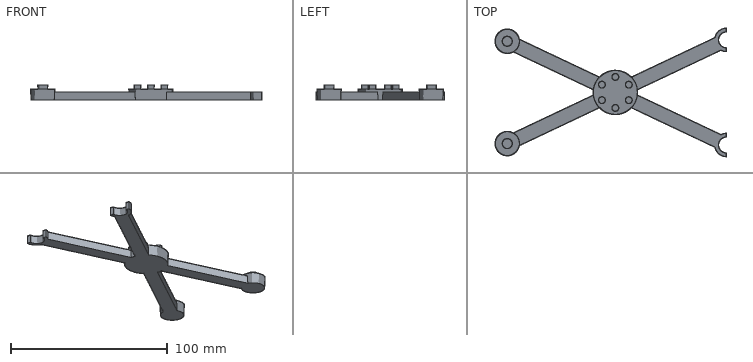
import cadquery as cq
import math

draft_angle = 3

arm_width = 9.0
arm_height = 5.2

hub_radius = 14.2
disc_height = 7.0
hub_peg_count = 6
hub_peg_radius = 2.2
hub_peg_circle_radius = 9.9

puck_x = -68.9
puck_y = 32.6
puck_radius = 7.8
puck_peg_radius = 3.2
total_height = 9.7

fork_x = 70.8
fork_y = 33.5
fork_outer_radius = 7.5
fork_inner_radius = 5.0


def cylinder(x, y, radius, height):
    """Upright cylinder standing on the base plane."""
    return cq.Workplane("XY").center(x, y).circle(radius).extrude(height)


def drafted_disc(x, y, top_radius, bottom_z, top_z):
    """Upright disc whose side narrows downward by the draft angle."""
    height = top_z - bottom_z
    bottom_radius = top_radius - height * math.tan(math.radians(draft_angle))
    base = cq.Workplane("XY", origin=(x, y, bottom_z)).circle(bottom_radius)
    return base.extrude(height, taper=-draft_angle)


def hub():
    """Central disc carrying a ring of pegs."""
    body = drafted_disc(0, 0, hub_radius, 0, disc_height)
    for index in range(hub_peg_count):
        angle = math.pi / 2 + 2 * math.pi * index / hub_peg_count
        x = hub_peg_circle_radius * math.cos(angle)
        y = hub_peg_circle_radius * math.sin(angle)
        body = body.union(drafted_disc(x, y, hub_peg_radius, disc_height, total_height))
    return body


def arm(end_x, end_y):
    """Straight bar from the hub centre to an end point."""
    length = math.hypot(end_x, end_y)
    angle = math.degrees(math.atan2(end_y, end_x))
    bar = cq.Workplane("XY").box(length, arm_width, arm_height, centered=(False, True, False))
    return bar.rotate((0, 0, 0), (0, 0, 1), angle)


def puck_arm(side):
    """Arm ending in a raised puck with a peg on top."""
    y = side * puck_y
    body = arm(puck_x, y).union(drafted_disc(puck_x, y, puck_radius, 0, disc_height))
    return body.union(drafted_disc(puck_x, y, puck_peg_radius, disc_height, total_height))


def fork_arm(side):
    """Arm ending in a half ring that opens toward +X."""
    y = side * fork_y
    body = arm(fork_x, y).union(cylinder(fork_x, y, fork_outer_radius, arm_height))
    body = body.cut(cylinder(fork_x, y, fork_inner_radius, arm_height))
    beyond_tips = (
        cq.Workplane("XY")
        .box(2 * fork_outer_radius, 2 * fork_outer_radius, arm_height, centered=(False, True, False))
        .translate((fork_x, y, 0))
    )
    return body.cut(beyond_tips)


result = hub()
for side in (-1, 1):
    result = result.union(puck_arm(side)).union(fork_arm(side))